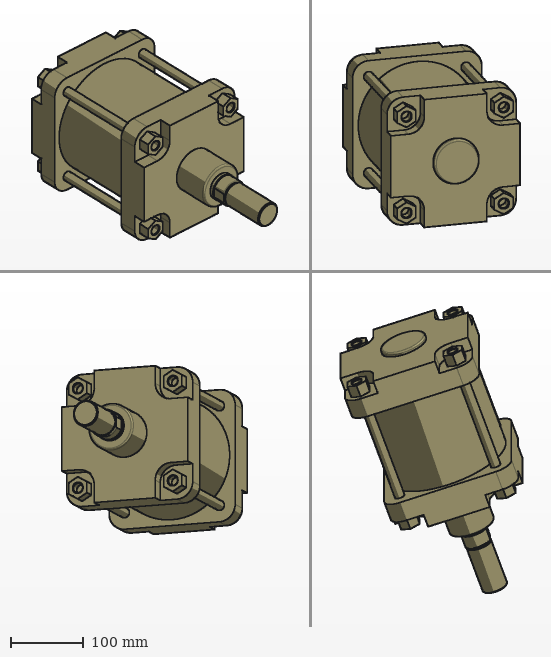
import cadquery as cq
import math


cap_side = 186.0
cap_thickness = 47.0
rod_spacing = 140.0
cap_corner_radius = (cap_side - rod_spacing) / 2
pocket_side = 48.0
pocket_depth = 19.0
pocket_radius = cap_corner_radius

boss_diameter = 65.0
rear_boss_length = 6.0
front_boss_length = 55.0
boss_fillet = 2.5

barrel_diameter = 170.0
barrel_length = 136.0

tie_rod_diameter = 14.0
nut_across_flats = 27.0
nut_height = 17.0
socket_diameter = 13.5
socket_depth = 14.0
socket_chamfer = 1.0

rod_diameter = 40.0
collar_length = 6.5
collar_cone_length = 1.0
wrench_diameter = 39.0
wrench_length = 19.0
wrench_end_fillet = 1.0
wrench_across_flats = 36.0
neck_diameter = 33.0
neck_length = 3.0
neck_cone_length = 1.0
thread_diameter = 36.0
thread_chamfer = 1.5
rod_tip_x = 388.0

rear_cap_x = rear_boss_length
barrel_x = rear_cap_x + cap_thickness
front_cap_x = barrel_x + barrel_length
front_face_x = front_cap_x + cap_thickness
front_boss_end_x = front_face_x + front_boss_length
collar_end_x = front_boss_end_x + collar_length
wrench_end_x = collar_end_x + wrench_length
thread_x = wrench_end_x + neck_length
rear_seat_x = rear_cap_x + pocket_depth
front_seat_x = front_face_x - pocket_depth

corner_signs = [(y, z) for y in (-1, 1) for z in (-1, 1)]
rod_centres = [(y * rod_spacing / 2, z * rod_spacing / 2) for y, z in corner_signs]


def plane_at(x):
    """Cross-section plane at x, with local axes along Y and Z and its normal along +X."""
    return cq.Workplane("YZ", origin=(x, 0, 0))


def cylinder(x, diameter, length):
    return plane_at(x).circle(diameter / 2).extrude(length)


def corner_pockets(x):
    """Four nut pockets that open through the sides of a cap, starting at x."""
    block_side = 2 * pocket_side
    block_centre = cap_side / 2
    centres = [(y * block_centre, z * block_centre) for y, z in corner_signs]
    blocks = plane_at(x).pushPoints(centres).rect(block_side, block_side).extrude(pocket_depth)
    return blocks.edges("|X").fillet(pocket_radius)


def make_cap(x, pocket_x):
    plate = plane_at(x).rect(cap_side, cap_side).extrude(cap_thickness)
    plate = plate.edges("|X").fillet(cap_corner_radius)
    plate = plate.cut(corner_pockets(pocket_x))
    rod_holes = plane_at(x).pushPoints(rod_centres).circle(tie_rod_diameter / 2).extrude(cap_thickness)
    return plate.cut(rod_holes)


def make_rear_cap():
    boss = cylinder(0, boss_diameter, rear_boss_length).faces("<X").edges().fillet(boss_fillet)
    return make_cap(rear_cap_x, rear_cap_x).union(boss)


def make_front_cap():
    boss = cylinder(front_face_x, boss_diameter, front_boss_length)
    boss = boss.faces(">X").edges().fillet(boss_fillet)
    rod_bore = cylinder(front_cap_x, rod_diameter, cap_thickness + front_boss_length)
    return make_cap(front_cap_x, front_seat_x).union(boss).cut(rod_bore)


def make_nut(x, direction):
    """Nut seated at x and rising along direction (+1 or -1 along X), with a blind socket in its end."""
    across_corners = nut_across_flats / math.cos(math.radians(30))
    end_x = x + direction * nut_height
    nut = plane_at(x).transformed(rotate=(0, 0, 90)).polygon(6, across_corners).extrude(direction * nut_height)
    socket = cylinder(end_x, socket_diameter, -direction * socket_depth)
    nut = nut.cut(socket)
    rim = nut.faces(">X" if direction > 0 else "<X").edges("%CIRCLE")
    return nut.newObject(rim.vals()).chamfer(socket_chamfer)


def make_tie_rod():
    """Tie rod and its two nuts as one solid on the X axis."""
    shank = cylinder(rear_seat_x, tie_rod_diameter, front_seat_x - rear_seat_x)
    return shank.union(make_nut(rear_seat_x, -1)).union(make_nut(front_seat_x, 1))


def make_piston_rod():
    """Turned rod with two wrench flats facing -Y and +Y and a plain thread end."""
    rod_radius = rod_diameter / 2
    wrench_radius = wrench_diameter / 2
    neck_radius = neck_diameter / 2
    thread_radius = thread_diameter / 2
    profile = (
        cq.Workplane("XY")
        .moveTo(front_cap_x, 0)
        .lineTo(front_cap_x, rod_radius)
        .lineTo(collar_end_x - collar_cone_length, rod_radius)
        .lineTo(collar_end_x, wrench_radius)
        .lineTo(wrench_end_x - wrench_end_fillet, wrench_radius)
        .tangentArcPoint((wrench_end_x, wrench_radius - wrench_end_fillet), relative=False)
        .lineTo(wrench_end_x, neck_radius)
        .lineTo(thread_x - neck_cone_length, neck_radius)
        .lineTo(thread_x, thread_radius)
        .lineTo(rod_tip_x - thread_chamfer, thread_radius)
        .lineTo(rod_tip_x, thread_radius - thread_chamfer)
        .lineTo(rod_tip_x, 0)
        .close()
    )
    rod = profile.revolve(360, (0, 0, 0), (1, 0, 0))
    wrench_stock = plane_at(collar_end_x).rect(rod_diameter, rod_diameter).extrude(wrench_length)
    kept_core = plane_at(collar_end_x).rect(wrench_across_flats, rod_diameter).extrude(wrench_length)
    return rod.cut(wrench_stock.cut(kept_core))


rear_cap = make_rear_cap()
barrel = cylinder(barrel_x, barrel_diameter, barrel_length)
front_cap = make_front_cap()
piston_rod = make_piston_rod()
tie_rods = [make_tie_rod().translate((0, y, z)) for y, z in rod_centres]

result = cq.Compound.makeCompound([
    rear_cap.val(),
    barrel.val(),
    front_cap.val(),
    piston_rod.val(),
    *[tie_rod.val() for tie_rod in tie_rods],
])